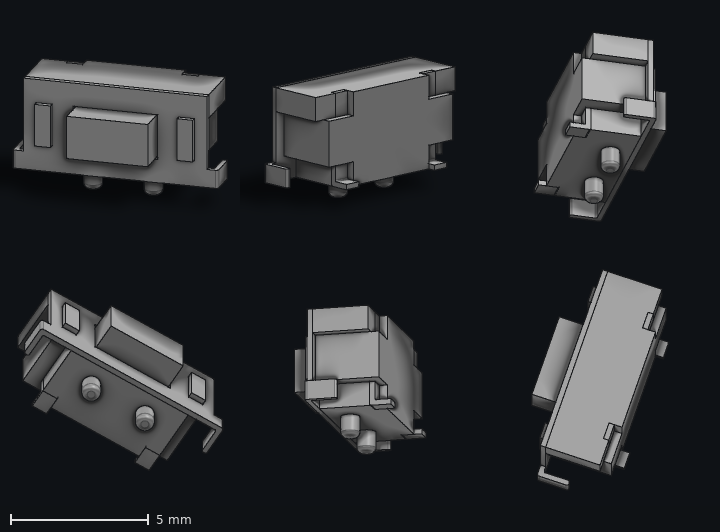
import cadquery as cq


overall_width = 7.8
sheet = 0.2
body_width = 6.97
body_height = 3.5
ear_height = 0.7
ear_depth = 1.21
bend_outer_radius = 0.1
bend_inner_radius = 0.06
ear_tip_radius = 0.08

housing_back = 2.58
step_back = 2.285
ledge_width = 6.18
ledge_bottom = 0.89
ledge_top = 2.605
base_width = 5.0

button_width = 3.08
button_height = 1.62
button_reach = 1.0
button_gap_x = 0.07
button_gap_z = 0.05
button_z = body_height / 2

post_width = 0.6
post_height = 1.6
post_reach = 0.195
post_x = 2.7
post_bottom = 1.01
post_z = post_bottom + post_height / 2

peg_diameter = 0.695
peg_length = 0.795
peg_x = 1.15
peg_y = 1.0
peg_tip_radius = 0.2

terminal_width = 0.62
terminal_x = (base_width - terminal_width) / 2
terminal_front = step_back - sheet
foot_tip = 2.88
terminal_outer_radius = 0.06
terminal_inner_radius = 0.05

central_width = base_width - 2 * terminal_width
sides = (-1, 1)


def block(width, y_range, z_range, x=0):
    """Box centred on x, spanning the given Y and Z ranges."""
    return cq.Workplane("XY").box(
        width, y_range[1] - y_range[0], z_range[1] - z_range[0], centered=(True, False, False)
    ).translate((x, y_range[0], z_range[0]))


def front_block(width, height, x, z, reach):
    """Box centred on (x, z) that starts behind the cover and stands out in front by reach."""
    return block(width, (-reach, sheet), (z - height / 2, z + height / 2), x)


def make_post(side):
    return front_block(post_width, post_height, side * post_x, post_z, post_reach)


def make_terminal(side):
    """L-shaped strip: a leg as tall as the housing and a foot bent to the rear."""
    terminal = (
        cq.Workplane("YZ")
        .moveTo(terminal_front, 0)
        .lineTo(foot_tip, 0)
        .lineTo(foot_tip, sheet)
        .lineTo(step_back, sheet)
        .lineTo(step_back, body_height)
        .lineTo(terminal_front, body_height)
        .close()
        .extrude(terminal_width / 2, both=True)
    )
    terminal = terminal.edges(cq.selectors.NearestToPointSelector((0, terminal_front, 0)))
    terminal = terminal.fillet(terminal_outer_radius)
    terminal = terminal.edges(cq.selectors.NearestToPointSelector((0, step_back, sheet)))
    terminal = terminal.fillet(terminal_inner_radius)
    return terminal.translate((side * terminal_x, 0, 0))


def make_ear(side):
    """Ear bent back from the lower end of the cover, with rounded bend and tip corners."""
    outer = side * overall_width / 2
    inner = side * (overall_width / 2 - sheet)
    root = side * body_width / 2
    ear = (
        cq.Workplane("XY")
        .moveTo(root, 0)
        .lineTo(outer, 0)
        .lineTo(outer, ear_depth)
        .lineTo(inner, ear_depth)
        .lineTo(inner, sheet)
        .lineTo(root, sheet)
        .close()
        .extrude(ear_height)
    )
    rounded_corners = (
        (outer, 0, bend_outer_radius),
        (inner, sheet, bend_inner_radius),
        (outer, ear_depth, ear_tip_radius),
        (inner, ear_depth, ear_tip_radius),
    )
    for x, y, radius in rounded_corners:
        corner = cq.selectors.NearestToPointSelector((x, y, ear_height / 2))
        ear = ear.edges("|Z").edges(corner).fillet(radius)
    return ear


def make_cover():
    """Front plate with two ears, a button hole and two holes for the posts."""
    cover = block(body_width, (0, sheet), (0, body_height))
    for side in sides:
        cover = cover.union(make_ear(side))
        cover = cover.cut(make_post(side))
    hole_width = button_width + 2 * button_gap_x
    hole_height = button_height + 2 * button_gap_z
    return cover.cut(front_block(hole_width, hole_height, 0, button_z, sheet))


def make_peg(side):
    return (
        cq.Workplane("XY")
        .circle(peg_diameter / 2)
        .extrude(-peg_length)
        .faces("<Z")
        .edges()
        .fillet(peg_tip_radius)
        .translate((side * peg_x, peg_y, 0))
    )


def make_housing(terminals):
    """Stepped body with button, posts and pegs, recessed for the terminals."""
    housing = block(central_width, (sheet, housing_back), (0, body_height))
    housing = housing.union(block(base_width, (sheet, step_back), (0, ledge_bottom)))
    housing = housing.union(block(ledge_width, (sheet, housing_back), (ledge_bottom, ledge_top)))
    housing = housing.union(block(body_width, (sheet, step_back), (ledge_top, body_height)))
    housing = housing.union(front_block(button_width, button_height, 0, button_z, button_reach))
    for side in sides:
        housing = housing.union(make_post(side))
        housing = housing.union(make_peg(side))
    for terminal in terminals:
        housing = housing.cut(terminal)
    return housing


terminals = [make_terminal(side) for side in sides]
housing = make_housing(terminals)
cover = make_cover()

result = cq.Compound.makeCompound(
    [housing.val(), cover.val(), *[terminal.val() for terminal in terminals]]
)